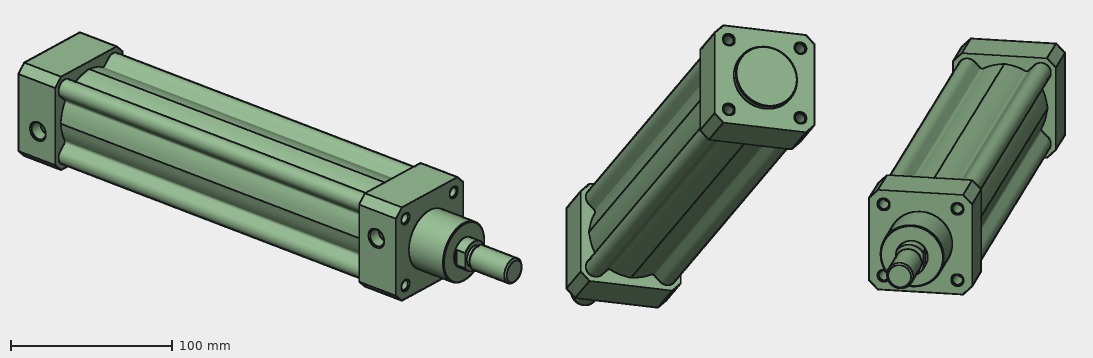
import cadquery as cq
import math


total_length = 379.0
rear_boss_length = 4.0
cap_length = 30.0
barrel_length = 246.5
front_boss_length = 28.0
thread_length = 30.5
relief_length = 2.3
rod_land_length = 1.0

cap_width = 65.0
cap_corner_chamfer = 5.5
boss_diameter = 40.0
boss_chamfer = 0.55
bolt_pitch = 46.5
bolt_hole_diameter = 6.5
bolt_hole_depth = 16.0
port_diameter = 11.5
port_depth = 9.0
hole_chamfer = 0.8
port_height = 8.0
port_inset = 16.0

barrel_radius = 27.0
ridge_half_width = 5.0
lobe_radius = 6.0
lobe_fillet = 2.0

rod_diameter = 20.0
flats_width = 17.0
relief_diameter = 14.0
thread_diameter = 16.5
thread_chamfer = 1.0

rear_cap_start = rear_boss_length
barrel_start = rear_cap_start + cap_length
front_cap_start = barrel_start + barrel_length
front_boss_start = front_cap_start + cap_length
front_boss_end = front_boss_start + front_boss_length
thread_start = total_length - thread_length
relief_start = thread_start - relief_length


def section_plane(x):
    """Plane across the cylinder axis at x: local x is +Y, local y is +Z, normal is +X."""
    return cq.Workplane("YZ", origin=(x, 0, 0))


def cap_block(start):
    """Square cap with its four long edges chamfered."""
    block = section_plane(start).rect(cap_width, cap_width).extrude(cap_length)
    return block.edges("|X").chamfer(cap_corner_chamfer)


def hole_cutter(plane, diameter, depth):
    """Blind hole sunk along the plane normal, with a chamfered mouth at the plane."""
    hole = plane.circle(diameter / 2).extrude(depth)
    mouth = plane.circle(diameter / 2 + hole_chamfer).extrude(hole_chamfer, taper=45)
    return hole.union(mouth)


def drill_cap(cap, outer_face_x, inward, port_z):
    """Drill the four bolt holes in the outer face and the port in the -Y side.

    inward is +1 or -1, the direction along X from the outer face into the cap.
    """
    for y in (-bolt_pitch / 2, bolt_pitch / 2):
        for z in (-bolt_pitch / 2, bolt_pitch / 2):
            bolt_plane = cq.Workplane(cq.Plane((outer_face_x, y, z), (0, 1, 0), (inward, 0, 0)))
            cap = cap.cut(hole_cutter(bolt_plane, bolt_hole_diameter, bolt_hole_depth))

    port_origin = (outer_face_x + inward * port_inset, -cap_width / 2, port_z)
    port_plane = cq.Workplane(cq.Plane(port_origin, (1, 0, 0), (0, 1, 0)))
    return cap.cut(hole_cutter(port_plane, port_diameter, port_depth))


def make_rear_cap():
    boss = section_plane(0).circle(boss_diameter / 2).extrude(rear_boss_length)
    boss = boss.faces("<X").chamfer(boss_chamfer)
    cap = cap_block(rear_cap_start).union(boss)
    return drill_cap(cap, rear_cap_start, 1, -port_height)


def make_front_cap():
    boss = section_plane(front_boss_start).circle(boss_diameter / 2).extrude(front_boss_length)
    boss = boss.faces(">X").chamfer(boss_chamfer)
    cap = cap_block(front_cap_start).union(boss)
    cap = drill_cap(cap, front_boss_start, -1, port_height)
    bore_length = cap_length + front_boss_length
    rod_bore = section_plane(front_cap_start).circle(rod_diameter / 2).extrude(bore_length)
    return cap.cut(rod_bore)


def make_barrel():
    """Round barrel with a tangent-sided ridge on each side and a rounded lobe on each diagonal."""
    barrel = section_plane(barrel_start).circle(barrel_radius).extrude(barrel_length)

    slot_length = bolt_pitch * math.sqrt(2) + 2 * lobe_radius
    for angle in (45, 135):
        lobes = section_plane(barrel_start).slot2D(slot_length, 2 * lobe_radius, angle).extrude(barrel_length)
        barrel = barrel.union(lobes)

    corner_along = math.sqrt(barrel_radius**2 - lobe_radius**2)
    corner_y = (corner_along + lobe_radius) / math.sqrt(2)
    corner_z = (corner_along - lobe_radius) / math.sqrt(2)
    middle_x = barrel_start + barrel_length / 2
    for y, z in ((corner_y, corner_z), (corner_z, corner_y)):
        for sign_y in (-1, 1):
            for sign_z in (-1, 1):
                corner = (middle_x, sign_y * y, sign_z * z)
                barrel = barrel.edges(cq.selectors.NearestToPointSelector(corner)).fillet(lobe_fillet)

    tangent_y = math.sqrt(barrel_radius**2 - ridge_half_width**2)
    peak_y = barrel_radius**2 / tangent_y
    ridge = (
        section_plane(barrel_start)
        .polyline([(0, 0), (tangent_y, -ridge_half_width), (peak_y, 0), (tangent_y, ridge_half_width)])
        .close()
        .extrude(barrel_length)
    )
    for angle in (0, 90, 180, 270):
        barrel = barrel.union(ridge.rotate((0, 0, 0), (1, 0, 0), angle))
    return barrel


def make_rod():
    """Rod with wrench flats on the -Y and +Y sides, a relief neck and a plain thread cylinder."""
    shank = section_plane(front_cap_start).circle(rod_diameter / 2).extrude(relief_start - front_cap_start)
    flats_start = front_boss_end + rod_land_length
    flats_length = relief_start - flats_start
    waste = section_plane(flats_start).rect(2 * rod_diameter, 2 * rod_diameter).extrude(flats_length)
    kept = section_plane(flats_start).rect(flats_width, 2 * rod_diameter).extrude(flats_length)
    shank = shank.cut(waste.cut(kept))

    relief = section_plane(relief_start).circle(relief_diameter / 2).extrude(relief_length)
    thread = section_plane(thread_start).circle(thread_diameter / 2).extrude(thread_length)
    thread = thread.faces("<X or >X").chamfer(thread_chamfer)
    return shank.union(relief).union(thread)


rear_cap = make_rear_cap()
barrel = make_barrel()
front_cap = make_front_cap()
rod = make_rod()

result = cq.Compound.makeCompound(
    [rear_cap.solids().val(), barrel.solids().val(), front_cap.solids().val(), rod.solids().val()]
)